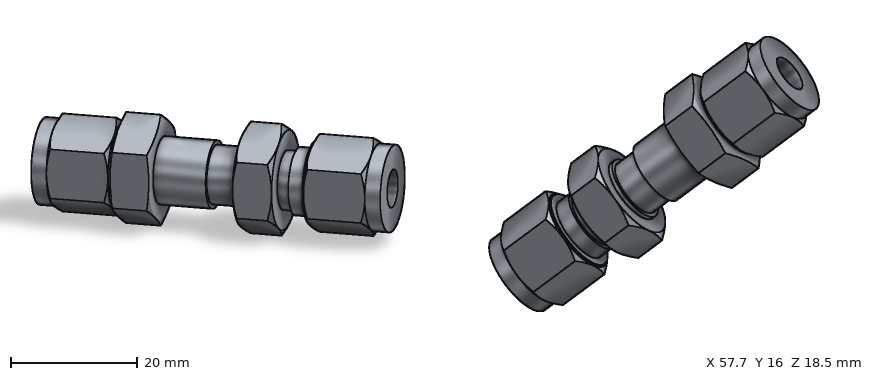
import cadquery as cq


LENGTH = 57.7

TUBE_NUT_FLATS = 14.0
COLLAR_LENGTH = 2.55
TUBE_NUT_HEX_END = 12.7
TUBE_NUT_LENGTH = 13.0
TUBE_NUT_BEVEL = 0.65
REAR_LIP_DIAMETER = 13.5

BODY_HEX_FLATS = 15.85
BODY_HEX_START = 13.3
BODY_HEX_END = 19.75
BODY_HEX_BEVEL = 0.35

LOCKNUT_FLATS = 16.0
LOCKNUT_START = 33.6
LOCKNUT_END = 40.05
LOCKNUT_BEVEL = 0.7
WASHER_FACE_START = 32.9

BARREL_DIAMETER = 10.95
BARREL_END = 28.4
THREAD_DIAMETER = 9.6
NECK_START = 42.05

BORE_DIAMETER = 4.8
TUBE_SOCKET_DIAMETER = 6.1
TUBE_SOCKET_DEPTH = 15.0

HEX_CORNER_RATIO = 2 / 3**0.5


def cylinder(start, end, diameter):
    """Cylinder on the X axis between two X positions."""
    return cq.Workplane("YZ").workplane(offset=start).circle(diameter / 2).extrude(end - start)


def beveled_hex(start, end, flats, bevel):
    """Hexagon with corners up and down, both ends turned to cones.

    Each cone runs from the circle that touches the flats, at the end face,
    to the corner circle over the length of the bevel.
    """
    flat_radius = flats / 2
    corner_radius = flat_radius * HEX_CORNER_RATIO
    hexagon = (
        cq.Workplane("YZ")
        .workplane(offset=start)
        .transformed(rotate=(0, 0, 90))
        .polygon(6, 2 * corner_radius)
        .extrude(end - start)
    )
    turned_envelope = (
        cq.Workplane("XY")
        .moveTo(start, 0)
        .lineTo(start, flat_radius)
        .lineTo(start + bevel, corner_radius)
        .lineTo(end - bevel, corner_radius)
        .lineTo(end, flat_radius)
        .lineTo(end, 0)
        .close()
        .revolve(360, (0, 0, 0), (1, 0, 0))
    )
    return hexagon.intersect(turned_envelope)


def tube_nut():
    """Tube nut with its outer end at X = 0: round collar, hexagon and rear lip."""
    collar = cylinder(0, COLLAR_LENGTH, TUBE_NUT_FLATS)
    hexagon = beveled_hex(COLLAR_LENGTH, TUBE_NUT_HEX_END, TUBE_NUT_FLATS, TUBE_NUT_BEVEL)
    rear_lip = cylinder(TUBE_NUT_HEX_END, TUBE_NUT_LENGTH, REAR_LIP_DIAMETER)
    return collar.union(hexagon).union(rear_lip)


def mirrored_end(shape):
    """Copy of an end feature, placed at the opposite end of the part."""
    return shape.mirror("YZ", (LENGTH / 2, 0, 0))


def shank():
    """Barrel, threaded length and neck that join the two tube nuts."""
    barrel = cylinder(COLLAR_LENGTH, BARREL_END, BARREL_DIAMETER)
    thread = cylinder(BARREL_END, NECK_START, THREAD_DIAMETER)
    neck = cylinder(NECK_START, LENGTH - COLLAR_LENGTH, BARREL_DIAMETER)
    return barrel.union(thread).union(neck)


def locknut():
    """Locknut hexagon with a round washer face towards the barrel."""
    washer_face = cylinder(WASHER_FACE_START, LOCKNUT_START, BARREL_DIAMETER)
    return beveled_hex(LOCKNUT_START, LOCKNUT_END, LOCKNUT_FLATS, LOCKNUT_BEVEL).union(washer_face)


def passage():
    """Through bore with a wider tube socket at each end."""
    socket = cylinder(0, TUBE_SOCKET_DEPTH, TUBE_SOCKET_DIAMETER)
    return cylinder(0, LENGTH, BORE_DIAMETER).union(socket).union(mirrored_end(socket))


body_hex = beveled_hex(BODY_HEX_START, BODY_HEX_END, BODY_HEX_FLATS, BODY_HEX_BEVEL)
end_nut = tube_nut()

result = (
    shank()
    .union(body_hex)
    .union(locknut())
    .union(end_nut)
    .union(mirrored_end(end_nut))
    .cut(passage())
)